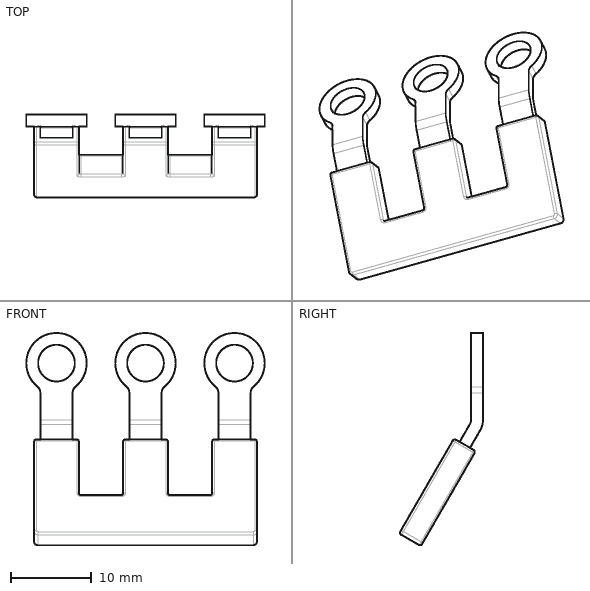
import cadquery as cq
import math

lug_count = 3
lug_pitch = 11.0
ring_diameter = 7.5
hole_diameter = 4.5
strip_width = 4.0
strip_thickness = 1.5
neck_radius = 1.0
ring_to_bend = 7.02
bend_angle = 30
bend_inner_radius = 1.0
bend_to_body = 2.55

finger_width = 5.57
body_width = (lug_count - 1) * lug_pitch + finger_width
body_thickness = 3.13
body_height = 13.57
slot_depth = 7.93
edge_radius = 0.3
bottom_corner_radius = 0.5
slot_corner_radius = 0.25

select_margin = 0.3

bend_radius = bend_inner_radius + strip_thickness / 2
sin_bend = math.sin(math.radians(bend_angle))
cos_bend = math.cos(math.radians(bend_angle))

bend_start = (0, -ring_to_bend)
bend_end = (-bend_radius * (1 - cos_bend), -ring_to_bend - bend_radius * sin_bend)
body_top = (bend_end[0] - bend_to_body * sin_bend, bend_end[1] - bend_to_body * cos_bend)

body_plane = cq.Plane(
    origin=(0, *body_top), xDir=(1, 0, 0), normal=(0, -cos_bend, sin_bend)
)

lug_positions = [(i - (lug_count - 1) / 2) * lug_pitch for i in range(lug_count)]
slot_positions = [x + lug_pitch / 2 for x in lug_positions[:-1]]


def make_ring_and_shank():
    """Upright ring with a straight shank that ends at the start of the bend."""
    half_thickness = strip_thickness / 2
    shank = (
        cq.Workplane("XZ")
        .center(0, -ring_to_bend / 2)
        .rect(strip_width, ring_to_bend)
        .extrude(half_thickness, both=True)
    )
    ring = cq.Workplane("XZ").circle(ring_diameter / 2).extrude(half_thickness, both=True)
    neck_depth = math.sqrt(ring_diameter**2 - strip_width**2) / 2
    neck_zone = cq.selectors.BoxSelector(
        (-strip_width, -strip_thickness, -neck_depth - select_margin),
        (strip_width, strip_thickness, -neck_depth + select_margin),
    )
    hole = cq.Workplane("XZ").circle(hole_diameter / 2).extrude(strip_thickness, both=True)
    return ring.union(shank).edges("|Y").edges(neck_zone).fillet(neck_radius).cut(hole)


def make_bent_strip():
    """Bend and sloping strip, swept from the shank to the top of the body."""
    half_angle = math.radians(bend_angle / 2)
    bend_middle = (
        -bend_radius * (1 - math.cos(half_angle)),
        -ring_to_bend - bend_radius * math.sin(half_angle),
    )
    path = (
        cq.Workplane("YZ")
        .moveTo(*bend_start)
        .threePointArc(bend_middle, bend_end)
        .lineTo(*body_top)
    )
    return (
        cq.Workplane("XY", origin=(0, *bend_start))
        .rect(strip_width, strip_thickness)
        .sweep(path)
    )


def make_body():
    """Tilted comb with one finger per lug and every edge rounded."""
    comb = (
        cq.Workplane()
        .center(0, -body_height / 2)
        .rect(body_width, body_height)
        .extrude(body_thickness / 2, both=True)
    )
    slots = (
        cq.Workplane()
        .pushPoints([(x, 0) for x in slot_positions])
        .rect(lug_pitch - finger_width, 2 * slot_depth)
        .extrude(body_thickness, both=True)
    )
    slot_floor_zone = cq.selectors.BoxSelector(
        (-body_width, -slot_depth - select_margin, -body_thickness),
        (body_width, -slot_depth + select_margin, body_thickness),
    )
    comb = comb.cut(slots)
    comb = comb.edges("|Z and <Y").fillet(bottom_corner_radius)
    comb = comb.edges("|Z").edges(slot_floor_zone).fillet(slot_corner_radius)
    comb = comb.edges("<Z or >Z or (|Z and >Y)").fillet(edge_radius)
    return cq.Workplane(comb.val().moved(body_plane.location))


lug = make_ring_and_shank().union(make_bent_strip())
result = make_body()
for x in lug_positions:
    result = result.union(lug.translate((x, 0, 0)))